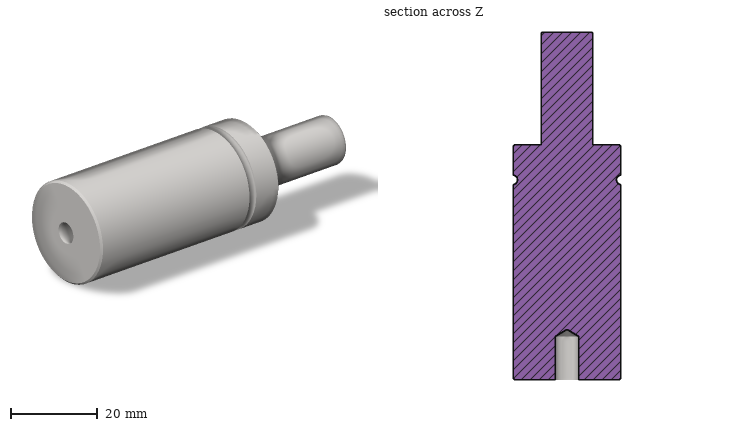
import cadquery as cq
import math

total_length = 80.0
body_length = 54.2
body_radius = 25.0 / 2
rod_radius = 12.0 / 2

body_chamfer = 0.5
rod_chamfer_length = 0.5
rod_chamfer_depth = 0.2

groove_radius = 1.0
groove_center = 46.0

hole_radius = 5.2 / 2
hole_depth = 10.0
drill_tip_angle = 118.0
tip_length = hole_radius / math.tan(math.radians(drill_tip_angle / 2))


def make_body_and_rod():
    """Revolve the chamfered body, its groove and the rod around Y."""
    profile = (
        cq.Workplane("XY")
        .moveTo(0, 0)
        .lineTo(body_radius - body_chamfer, 0)
        .lineTo(body_radius, body_chamfer)
        .lineTo(body_radius, groove_center - groove_radius)
        .threePointArc(
            (body_radius - groove_radius, groove_center),
            (body_radius, groove_center + groove_radius),
        )
        .lineTo(body_radius, body_length - body_chamfer)
        .lineTo(body_radius - body_chamfer, body_length)
        .lineTo(rod_radius, body_length)
        .lineTo(rod_radius, total_length - rod_chamfer_length)
        .lineTo(rod_radius - rod_chamfer_depth, total_length)
        .lineTo(0, total_length)
        .close()
    )
    return profile.revolve(360, (0, 0, 0), (0, 1, 0))


def make_hole():
    """Revolve the blind hole with its conical drill tip around Y."""
    profile = (
        cq.Workplane("XY")
        .moveTo(0, 0)
        .lineTo(hole_radius, 0)
        .lineTo(hole_radius, hole_depth)
        .lineTo(0, hole_depth + tip_length)
        .close()
    )
    return profile.revolve(360, (0, 0, 0), (0, 1, 0))


result = make_body_and_rod().cut(make_hole()).translate((0, -total_length / 2, 0))